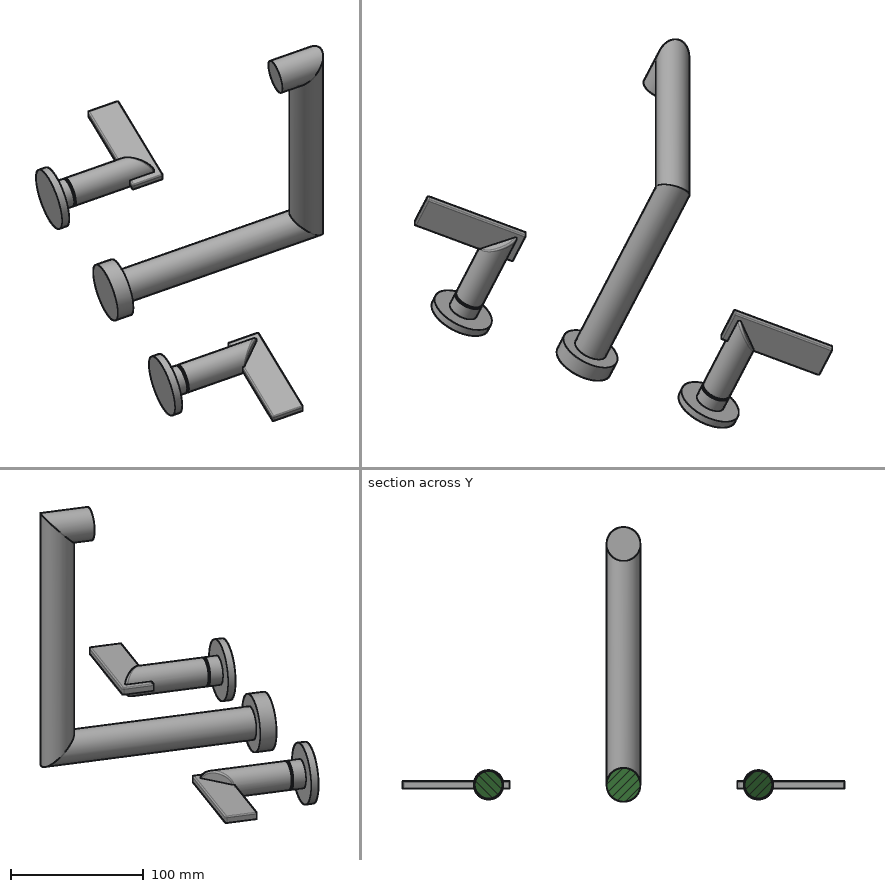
import cadquery as cq


SPOUT_DIAMETER = 25.5
SPOUT_REACH = 179.3
SPOUT_TOP = 194.3
OUTLET_LENGTH = 38.3
SPOUT_FLANGE_DIAMETER = 44.5
SPOUT_FLANGE_THICKNESS = 13.0

OVERALL_WIDTH = 333.2
HANDLE_OFFSET = 101.5
HANDLE_FLANGE_DIAMETER = 47.3
HANDLE_FLANGE_THICKNESS = 6.0
STEM_DIAMETER = 22.3
GROOVE_POSITION = 16.0
GROOVE_WIDTH = 1.3
GROOVE_DEPTH = 0.5
BLADE_BACK = 87.3
BLADE_DEPTH = 25.3
BLADE_LENGTH = 81.0
BLADE_THICKNESS = 6.0
BLADE_FILLET = 1.0
MITRE_START = 63.0
MITRE_FILLET = 1.3


def disc(diameter, y_start, length):
    """Cylinder along +Y, centred on the Y axis."""
    return cq.Workplane("XZ", origin=(0, y_start, 0)).circle(diameter / 2).extrude(-length)


def make_spout():
    """Flange and a tube that runs out, turns up and turns back, with sharp mitres."""
    radius = SPOUT_DIAMETER / 2
    riser_y = SPOUT_REACH - radius
    outlet_z = SPOUT_TOP - radius
    path = (
        cq.Workplane("YZ")
        .lineTo(riser_y, 0)
        .lineTo(riser_y, outlet_z)
        .lineTo(SPOUT_REACH - OUTLET_LENGTH, outlet_z)
    )
    tube = cq.Workplane("XZ").circle(radius).sweep(path, transition="right")
    flange = disc(SPOUT_FLANGE_DIAMETER, 0, SPOUT_FLANGE_THICKNESS)
    return tube.union(flange)


def make_stem():
    """Round stem with a shadow groove, its free end mitred at 45 degrees with a rounded rim."""
    radius = STEM_DIAMETER / 2
    sharp_tip = MITRE_START + STEM_DIAMETER
    mitre = (
        cq.Workplane("XY")
        .moveTo(-radius, sharp_tip)
        .lineTo(-radius, MITRE_START)
        .lineTo(radius, sharp_tip)
        .close()
        .extrude(radius, both=True)
    )
    groove = disc(STEM_DIAMETER, GROOVE_POSITION, GROOVE_WIDTH).cut(
        disc(STEM_DIAMETER - 2 * GROOVE_DEPTH, GROOVE_POSITION, GROOVE_WIDTH)
    )
    stem = disc(STEM_DIAMETER, 0, sharp_tip).cut(mitre)
    return stem.faces(">Y").edges().fillet(MITRE_FILLET).cut(groove)


def make_blade():
    """Flat lever reaching towards -X, with all edges rounded."""
    outer_x = HANDLE_OFFSET - OVERALL_WIDTH / 2
    return (
        cq.Workplane("XY")
        .box(BLADE_LENGTH, BLADE_DEPTH, BLADE_THICKNESS)
        .edges()
        .fillet(BLADE_FILLET)
        .translate((outer_x + BLADE_LENGTH / 2, BLADE_BACK - BLADE_DEPTH / 2, 0))
    )


def make_handle(side):
    """One handle; side is -1 for the left one and +1 for its mirror image on the right."""
    flange = disc(HANDLE_FLANGE_DIAMETER, 0, HANDLE_FLANGE_THICKNESS)
    handle = flange.union(make_stem()).union(make_blade())
    if side > 0:
        handle = handle.mirror("YZ")
    return handle.translate((side * HANDLE_OFFSET, 0, 0))


spout = make_spout()
handles = [make_handle(side) for side in (-1, 1)]

result = cq.Compound.makeCompound([spout.val(), *[handle.val() for handle in handles]])